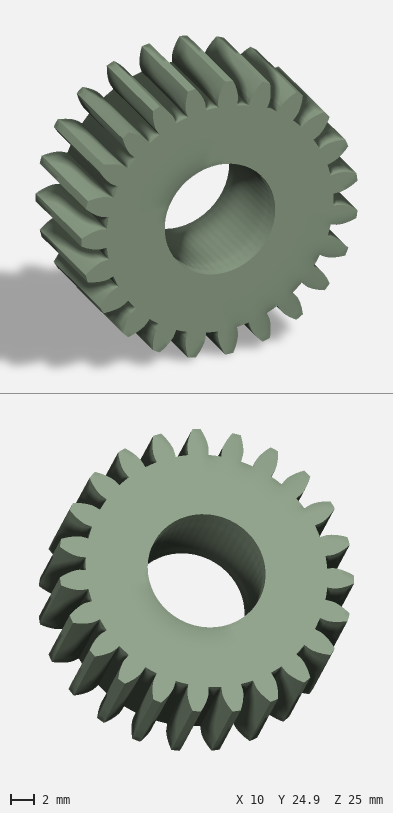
import cadquery as cq
import math

TOOTH_COUNT = 23
OVERALL_HEIGHT = 24.97
FACE_WIDTH = 10.0
BORE_DIAMETER = 10.0
PRESSURE_ANGLE = math.radians(20)
DEDENDUM_FACTOR = 1.25
FLANK_POINTS = 7

TOOTH_PITCH = 2 * math.pi / TOOTH_COUNT


def polar(radius, angle):
    return (radius * math.cos(angle), radius * math.sin(angle))


def involute(pressure_angle):
    return math.tan(pressure_angle) - pressure_angle


def half_tooth_angle(local_pressure):
    """Angle from the tooth centre line to the flank where it has this pressure angle."""
    return TOOTH_PITCH / 4 + involute(PRESSURE_ANGLE) - involute(local_pressure)


TIP_PRESSURE = math.acos(TOOTH_COUNT * math.cos(PRESSURE_ANGLE) / (TOOTH_COUNT + 2))
TIP_HALF_ANGLE = half_tooth_angle(TIP_PRESSURE)
TIP_RADIUS = OVERALL_HEIGHT / 2 / math.cos(TOOTH_PITCH / 4 - TIP_HALF_ANGLE)
MODULE = 2 * TIP_RADIUS / (TOOTH_COUNT + 2)
PITCH_RADIUS = MODULE * TOOTH_COUNT / 2
BASE_RADIUS = PITCH_RADIUS * math.cos(PRESSURE_ANGLE)
ROOT_RADIUS = PITCH_RADIUS - DEDENDUM_FACTOR * MODULE


def flank_points():
    """Radius and half tooth angle along an involute from base circle to tip."""
    step = (TIP_RADIUS - BASE_RADIUS) / (FLANK_POINTS - 1)
    points = [(BASE_RADIUS, half_tooth_angle(0))]
    for i in range(1, FLANK_POINTS):
        radius = BASE_RADIUS + i * step
        points.append((radius, half_tooth_angle(math.acos(BASE_RADIUS / radius))))
    return points


def gear_outline():
    flank = flank_points()
    root_half = half_tooth_angle(0)

    outline = cq.Workplane("YZ").moveTo(*polar(ROOT_RADIUS, math.pi - root_half))
    for tooth in range(TOOTH_COUNT):
        centre = math.pi + tooth * TOOTH_PITCH
        rising = [polar(radius, centre - half) for radius, half in flank]
        falling = [polar(radius, centre + half) for radius, half in reversed(flank)]
        outline = outline.lineTo(*rising[0]).spline(rising[1:], includeCurrent=True)
        outline = outline.threePointArc(polar(TIP_RADIUS, centre), falling[0])
        outline = outline.spline(falling[1:], includeCurrent=True)
        outline = outline.lineTo(*polar(ROOT_RADIUS, centre + root_half))
        outline = outline.threePointArc(
            polar(ROOT_RADIUS, centre + TOOTH_PITCH / 2),
            polar(ROOT_RADIUS, centre + TOOTH_PITCH - root_half),
        )
    return outline.close()


bore = cq.Workplane("YZ").circle(BORE_DIAMETER / 2).extrude(FACE_WIDTH)
result = gear_outline().extrude(FACE_WIDTH).cut(bore)